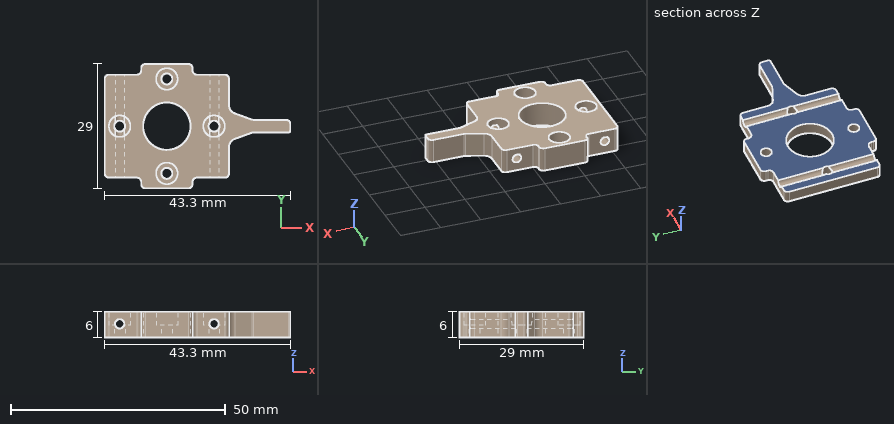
import cadquery as cq
import math

overall_length = 43.3
body_length = 29.0
body_width = 24.03
thickness = 6.0
center_x = body_length / 2
corner_radius = 1.0

tab_length = 12.0
tab_span = body_length

handle_width = 3.0
taper_end_x = 34.45
taper_angle = 20.0
root_radius = 2.0
neck_radius = 1.0
tip_radius_back = 1.0
tip_radius_front = 0.5

bore_diameter = 11.0
screw_circle_radius = 11.0
screw_diameter = 2.5
counterbore_diameter = 5.0
counterbore_depth = 3.0
cross_hole_diameter = 2.1
cross_hole_height = 3.2


def vertical_edges_at(solid, x, y):
    """Vertical edges at the plan position (x, y)."""
    margin = 0.02
    box = cq.selectors.BoxSelector(
        (x - margin, y - margin, -margin),
        (x + margin, y + margin, thickness + margin),
    )
    return solid.edges("|Z").edges(box)


def make_body():
    plate = cq.Workplane("XY").box(body_length, body_width, thickness, centered=(True, True, False))
    cross_bar = cq.Workplane("XY").box(tab_length, tab_span, thickness, centered=(True, True, False))
    body = plate.union(cross_bar).edges("|Z").fillet(corner_radius)
    return body.translate((center_x, 0, 0))


def add_handle(body):
    half_width = handle_width / 2
    taper_rise = (taper_end_x - body_length) * math.tan(math.radians(taper_angle))
    root_half_width = half_width + taper_rise
    handle = (
        cq.Workplane("XY")
        .moveTo(center_x + bore_diameter / 2, -root_half_width)
        .lineTo(body_length, -root_half_width)
        .lineTo(taper_end_x, -half_width)
        .lineTo(overall_length, -half_width)
        .lineTo(overall_length, half_width)
        .lineTo(taper_end_x, half_width)
        .lineTo(body_length, root_half_width)
        .lineTo(center_x + bore_diameter / 2, root_half_width)
        .close()
        .extrude(thickness)
    )
    solid = body.union(handle)
    for side in (-1, 1):
        solid = vertical_edges_at(solid, body_length, side * root_half_width).fillet(root_radius)
        solid = vertical_edges_at(solid, taper_end_x, side * half_width).fillet(neck_radius)
    solid = vertical_edges_at(solid, overall_length, half_width).fillet(tip_radius_back)
    return vertical_edges_at(solid, overall_length, -half_width).fillet(tip_radius_front)


def cut_vertical_holes(solid):
    top = cq.Workplane("XY", origin=(center_x, 0, thickness))
    solid = solid.cut(top.circle(bore_diameter / 2).extrude(-thickness))
    screw_points = top.polarArray(screw_circle_radius, 0, 360, 4)
    solid = solid.cut(screw_points.circle(screw_diameter / 2).extrude(-thickness))
    return solid.cut(screw_points.circle(counterbore_diameter / 2).extrude(-counterbore_depth))


def cut_cross_holes(solid):
    """Holes along Y through the plate, passing through the left and right counterbores."""
    for side in (-1, 1):
        hole_x = center_x + side * screw_circle_radius
        start = cq.Workplane("XZ", origin=(hole_x, body_width / 2, cross_hole_height))
        solid = solid.cut(start.circle(cross_hole_diameter / 2).extrude(body_width))
    return solid


result = cut_cross_holes(cut_vertical_holes(add_handle(make_body())))